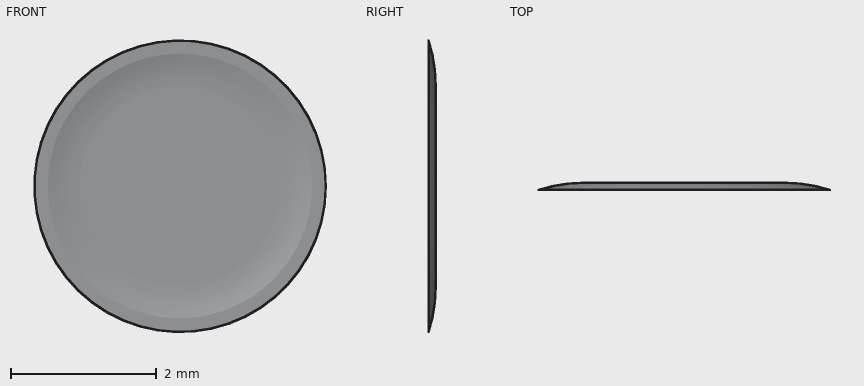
import cadquery as cq
import math

outer_radius = 2.0
height = 0.1
wall = 0.05
bend_radius = 2.0

inner_bend_radius = bend_radius - wall
centre_y = height - bend_radius
flat_radius = outer_radius - math.sqrt(bend_radius**2 - centre_y**2)
rim_inner_radius = flat_radius + math.sqrt(inner_bend_radius**2 - centre_y**2)


def skirt_midpoint(radius, end_radius):
    """Point halfway along a skirt arc from the flat middle to the rim plane."""
    half_angle = math.asin((end_radius - flat_radius) / radius) / 2
    return (
        flat_radius + radius * math.sin(half_angle),
        centre_y + radius * math.cos(half_angle),
    )


section = (
    cq.Workplane("XY")
    .moveTo(0, height - wall)
    .lineTo(0, height)
    .lineTo(flat_radius, height)
    .threePointArc(skirt_midpoint(bend_radius, outer_radius), (outer_radius, 0))
    .lineTo(rim_inner_radius, 0)
    .threePointArc(
        skirt_midpoint(inner_bend_radius, rim_inner_radius),
        (flat_radius, height - wall),
    )
    .close()
)

result = section.revolve(360, (0, 0, 0), (0, 1, 0))